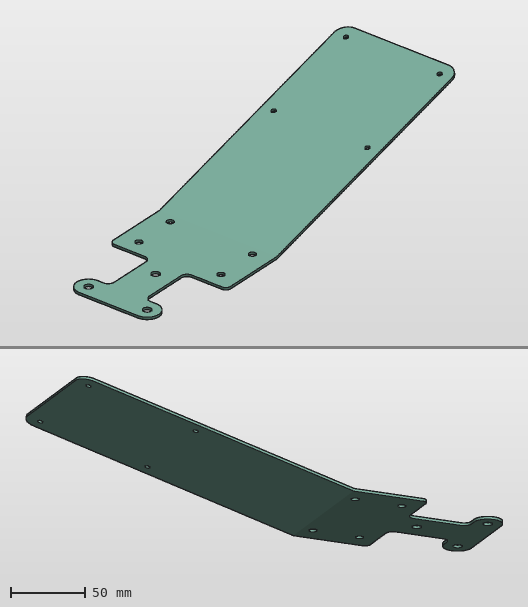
import cadquery as cq
import math

length = 319.7
width = 100.0
thickness = 2.0
bend_angle = 15.0
bend_y = 119.5

shoulder_y = 65.0
shoulder_radius = 4.0
neck_width = 30.0
neck_fillet = 5.0
foot_depth = 20.0
foot_radius = foot_depth / 2
foot_hole_spacing = 50.0
foot_hole_diameter = 6.5
neck_hole_y = 51.0
plate_hole_spacing = 70.0
plate_hole_rows = (77.7, 112.0)
plate_hole_diameter = 5.5

panel_length = (length - bend_y) / math.cos(math.radians(bend_angle))
panel_corner_radius = 10.0
panel_hole_spacing = 80.0
panel_hole_diameter = 3.5
panel_hole_end_distances = (10.0, 91.5)


def sheet_block(size_x, y_start, y_end):
    """Flat sheet centred on X between two Y positions."""
    depth = y_end - y_start
    return (
        cq.Workplane("XY")
        .box(size_x, depth, thickness, centered=(True, False, False))
        .translate((0, y_start, 0))
    )


def drills(points, diameter):
    """Cylinders through the sheet at the given XY points."""
    return cq.Workplane("XY").pushPoints(points).circle(diameter / 2).extrude(thickness)


def mirrored_points(spacing, rows):
    """A pair of points, symmetric about X = 0, on each row."""
    return [(side * spacing / 2, y) for y in rows for side in (-1, 1)]


def make_flat_part():
    plate = sheet_block(width, shoulder_y, bend_y).edges("|Z and <Y").fillet(shoulder_radius)
    neck = sheet_block(neck_width, foot_radius, shoulder_y + foot_radius)
    foot = (
        cq.Workplane("XY")
        .center(0, foot_radius)
        .slot2D(foot_hole_spacing + foot_depth, foot_depth)
        .extrude(thickness)
    )
    body = plate.union(neck).union(foot)

    for x, y in mirrored_points(neck_width, (foot_depth, shoulder_y)):
        corner = cq.selectors.NearestToPointSelector((x, y, thickness / 2))
        body = body.edges("|Z").edges(corner).fillet(neck_fillet)

    foot_holes = mirrored_points(foot_hole_spacing, (foot_radius,))
    body = body.cut(drills(foot_holes + [(0, neck_hole_y)], foot_hole_diameter))
    plate_holes = mirrored_points(plate_hole_spacing, plate_hole_rows)
    return body.cut(drills(plate_holes, plate_hole_diameter))


def make_panel():
    """Panel built flat from Y = 0, then tilted up and moved to the bend."""
    panel = sheet_block(width, 0, panel_length).edges("|Z and >Y").fillet(panel_corner_radius)
    rows = [panel_length - distance for distance in panel_hole_end_distances]
    panel = panel.cut(drills(mirrored_points(panel_hole_spacing, rows), panel_hole_diameter))
    return panel.rotate((0, 0, 0), (1, 0, 0), bend_angle).translate((0, bend_y, 0))


result = make_flat_part().union(make_panel())